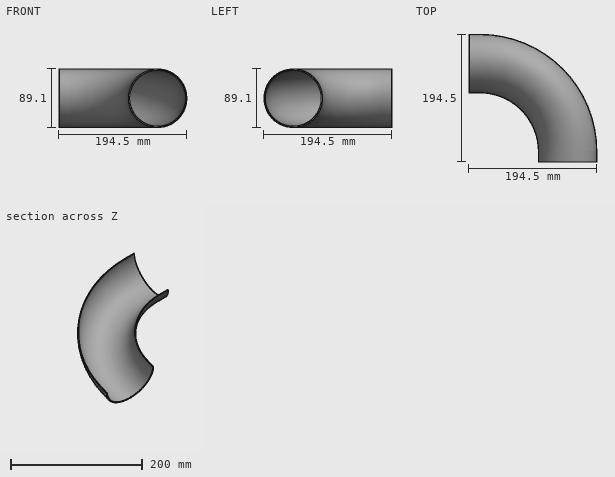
import cadquery as cq

overall_length = 194.5
outer_diameter = 89.1
inner_diameter = 85.0
straight_length = 16.3

bend_radius = overall_length - straight_length - outer_diameter / 2


def swept_elbow(diameter):
    """Solid 90 degree elbow with a straight collar at each end, bend centre at the origin."""
    x_collar = (
        cq.Workplane("YZ", origin=(-straight_length, bend_radius, 0))
        .circle(diameter / 2)
        .extrude(straight_length)
    )
    bend = (
        cq.Workplane("YZ")
        .center(bend_radius, 0)
        .circle(diameter / 2)
        .revolve(90, (-bend_radius, 0), (-bend_radius, -1))
    )
    y_collar = (
        cq.Workplane("XZ", origin=(bend_radius, 0, 0))
        .circle(diameter / 2)
        .extrude(straight_length)
    )
    return x_collar.union(bend).union(y_collar)


result = swept_elbow(outer_diameter).cut(swept_elbow(inner_diameter))